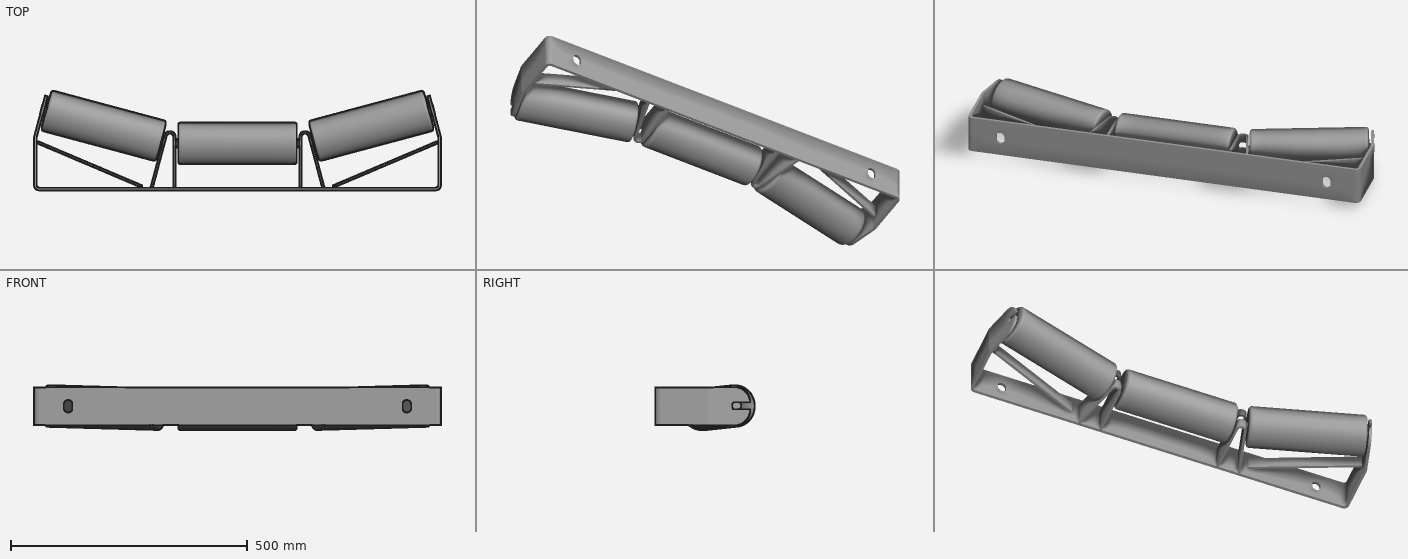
import cadquery as cq
import math

LENGTH = 860
STRIP_HEIGHT = 80.0
STRIP_THICKNESS = 6.0
CORNER_RADIUS = 11.0
INNER_CORNER_RADIUS = 6.0
BEND_Y = 113.0
FLANGE_LENGTH = 91.0
FLANGE_TIP_RADIUS = 31.0
TROUGH_ANGLE = 15

MOUNT_X = 358.0
MOUNT_WIDTH = 18.0
MOUNT_HEIGHT = 27.0

BRACKET_THICKNESS = 5.0
BRACKET_HEIGHT = 59.0
FOLD_RADIUS = 12.0
BRACKET_X = 131.0
FOLD_Y = 113.5

BRACE_HEIGHT = 30.0
BRACE_THICKNESS = 5.0
BRACE_WALL_Y = 100.0
BRACE_PLATE_X = 203.0

ROLLER_DIAMETER = 89.0
ROLLER_LENGTH = 251.0
ROLLER_EDGE_RADIUS = 6.0
AXLE_DIAMETER = 20.0
AXLE_FLATS = 15.0
END_GAP = 5.0
AXLE_DROP = 14.0
SLOT_REACH = 77
INNER_AXLE_Z = -6.45
SIDE_GAP = 3.5
SIDE_OUTER_STUB = 11.0
ROLLER_TILT = 1.6

HALF_LENGTH = LENGTH / 2
HALF_HEIGHT = STRIP_HEIGHT / 2
WALL_X = HALF_LENGTH - STRIP_THICKNESS
SIN = math.sin(math.radians(TROUGH_ANGLE))
COS = math.cos(math.radians(TROUGH_ANGLE))
FOLD_X = BRACKET_X + FOLD_RADIUS
CENTRE_STUB = END_GAP + BRACKET_THICKNESS
SIDE_INNER_STUB = SIDE_GAP + BRACKET_THICKNESS
SIDES = (1, -1)


def axle_plane(side, x, y, z, turn=0, tilt=0):
    """Plane with its normal along an axle that points outwards, and its X axis level, towards the plate."""
    turn_angle = math.radians(turn)
    tilt_angle = math.radians(tilt)
    flat = math.cos(tilt_angle)
    normal = (side * math.cos(turn_angle) * flat, math.sin(turn_angle) * flat, math.sin(tilt_angle))
    across = (side * math.sin(turn_angle), -math.cos(turn_angle), 0)
    return cq.Plane(origin=(side * x, y, z), xDir=across, normal=normal)


def shifted(plane, distance):
    """Copy of the plane moved along its normal."""
    return cq.Plane(origin=plane.toWorldCoords((0, 0, distance)), xDir=plane.xDir, normal=plane.zDir)


def axle_bar(plane, length):
    """Round bar with two flats, square to the plane and starting on it."""
    bar = cq.Workplane(plane).circle(AXLE_DIAMETER / 2).extrude(length)
    flats = cq.Workplane(plane).rect(AXLE_DIAMETER, AXLE_FLATS).extrude(length)
    return bar.intersect(flats)


def axle_slot(plane, length):
    """Cutter for an axle seat that is open towards the free edge of its support."""
    mouth = cq.Workplane(plane).center(-SLOT_REACH / 2, 0).rect(SLOT_REACH, AXLE_FLATS).extrude(length)
    return axle_bar(plane, length).union(mouth)


def make_roller(plane, inner_stub, outer_stub):
    """Roller centred on the plane, its axle ends standing out behind and ahead of the drum."""
    inner_end = -ROLLER_LENGTH / 2
    drum = cq.Workplane(shifted(plane, inner_end)).circle(ROLLER_DIAMETER / 2).extrude(ROLLER_LENGTH)
    drum = drum.edges("%CIRCLE").fillet(ROLLER_EDGE_RADIUS)
    axle = axle_bar(shifted(plane, inner_end - inner_stub), inner_stub + ROLLER_LENGTH + outer_stub)
    return drum.union(axle)


def side_roller_plane(side):
    """Middle of a side roller, whose axle rises outwards from the sloping bracket leg."""
    reach = FOLD_RADIUS + SIDE_GAP + ROLLER_LENGTH / 2
    x = FOLD_X + reach * COS + AXLE_DROP * SIN
    y = FOLD_Y + reach * SIN - AXLE_DROP * COS
    rise = (SIDE_GAP + ROLLER_LENGTH / 2) * math.sin(math.radians(ROLLER_TILT))
    return axle_plane(side, x, y, INNER_AXLE_Z + rise, TROUGH_ANGLE, ROLLER_TILT)


def make_frame():
    inner_bend_y = BEND_Y - STRIP_THICKNESS * math.tan(math.radians(TROUGH_ANGLE / 2))
    tip_x = HALF_LENGTH - FLANGE_LENGTH * SIN
    tip_y = BEND_Y + FLANGE_LENGTH * COS
    half = [
        (HALF_LENGTH, 0),
        (HALF_LENGTH, BEND_Y),
        (tip_x, tip_y),
        (tip_x - STRIP_THICKNESS * COS, tip_y - STRIP_THICKNESS * SIN),
        (WALL_X, inner_bend_y),
        (WALL_X, STRIP_THICKNESS),
    ]
    outline = half + [(-x, y) for x, y in reversed(half)]
    frame = cq.Workplane("XY").polyline(outline).close().extrude(HALF_HEIGHT, both=True)
    for side in SIDES:
        outer = cq.selectors.NearestToPointSelector((side * HALF_LENGTH, 0, 0))
        frame = frame.edges(outer).fillet(CORNER_RADIUS)
        inner = cq.selectors.NearestToPointSelector((side * WALL_X, STRIP_THICKNESS, 0))
        frame = frame.edges(inner).fillet(INNER_CORNER_RADIUS)
        middle = (tip_x - STRIP_THICKNESS * COS / 2, tip_y - STRIP_THICKNESS * SIN / 2)
        for z in (HALF_HEIGHT, -HALF_HEIGHT):
            corner = cq.selectors.NearestToPointSelector((side * middle[0], middle[1], z))
            frame = frame.edges(corner).fillet(FLANGE_TIP_RADIUS)
        roller_end = shifted(side_roller_plane(side), ROLLER_LENGTH / 2)
        frame = frame.cut(axle_slot(roller_end, 2 * SIDE_OUTER_STUB))
    mounts = (
        cq.Workplane("XZ", origin=(0, STRIP_THICKNESS, 0))
        .pushPoints([(side * MOUNT_X, 0) for side in SIDES])
        .slot2D(MOUNT_HEIGHT, MOUNT_WIDTH, 90)
        .extrude(STRIP_THICKNESS)
    )
    return frame.cut(mounts)


def make_bracket(side):
    inner_radius = FOLD_RADIUS - BRACKET_THICKNESS
    leg_drop = FOLD_Y - STRIP_THICKNESS
    mid_angle = math.radians((180 + TROUGH_ANGLE) / 2)

    def slope_top(radius):
        return side * (FOLD_X + radius * COS), FOLD_Y + radius * SIN

    def slope_foot(radius):
        return side * (FOLD_X + radius / COS + leg_drop * SIN / COS), STRIP_THICKNESS

    def fold_middle(radius):
        return side * (FOLD_X + radius * math.cos(mid_angle)), FOLD_Y + radius * math.sin(mid_angle)

    def straight(radius, y):
        return side * (FOLD_X - radius), y

    bracket = (
        cq.Workplane("XY", origin=(0, 0, -HALF_HEIGHT))
        .moveTo(*straight(FOLD_RADIUS, STRIP_THICKNESS))
        .lineTo(*straight(FOLD_RADIUS, FOLD_Y))
        .threePointArc(fold_middle(FOLD_RADIUS), slope_top(FOLD_RADIUS))
        .lineTo(*slope_foot(FOLD_RADIUS))
        .lineTo(*slope_foot(inner_radius))
        .lineTo(*slope_top(inner_radius))
        .threePointArc(fold_middle(inner_radius), straight(inner_radius, FOLD_Y))
        .lineTo(*straight(inner_radius, STRIP_THICKNESS))
        .close()
        .extrude(BRACKET_HEIGHT)
    )
    centre_axle_y = FOLD_Y - AXLE_DROP
    bracket = bracket.cut(axle_slot(axle_plane(side, BRACKET_X, centre_axle_y, INNER_AXLE_Z), FOLD_RADIUS))
    to_fold = -(ROLLER_LENGTH / 2 + SIDE_GAP + FOLD_RADIUS)
    return bracket.cut(axle_slot(shifted(side_roller_plane(side), to_fold), FOLD_RADIUS + SIDE_GAP))


def make_brace(side):
    run = WALL_X - BRACE_PLATE_X
    rise = BRACE_WALL_Y - STRIP_THICKNESS
    length = math.hypot(run, rise)
    shift_x = -BRACE_THICKNESS * rise / length
    shift_y = BRACE_THICKNESS * run / length
    corners = [
        (side * BRACE_PLATE_X, STRIP_THICKNESS),
        (side * WALL_X, BRACE_WALL_Y),
        (side * (WALL_X + shift_x), BRACE_WALL_Y + shift_y),
        (side * (BRACE_PLATE_X + shift_x), STRIP_THICKNESS + shift_y),
    ]
    return cq.Workplane("XY").polyline(corners).close().extrude(BRACE_HEIGHT / 2, both=True)


frame = make_frame()
brackets = [make_bracket(side) for side in SIDES]
braces = [make_brace(side) for side in SIDES]
centre_roller = make_roller(axle_plane(1, 0, FOLD_Y - AXLE_DROP, INNER_AXLE_Z), CENTRE_STUB, CENTRE_STUB)
side_rollers = [make_roller(side_roller_plane(side), SIDE_INNER_STUB, SIDE_OUTER_STUB) for side in SIDES]

bodies = [frame, *brackets, *braces, centre_roller, *side_rollers]
result = cq.Compound.makeCompound([body.val() for body in bodies])